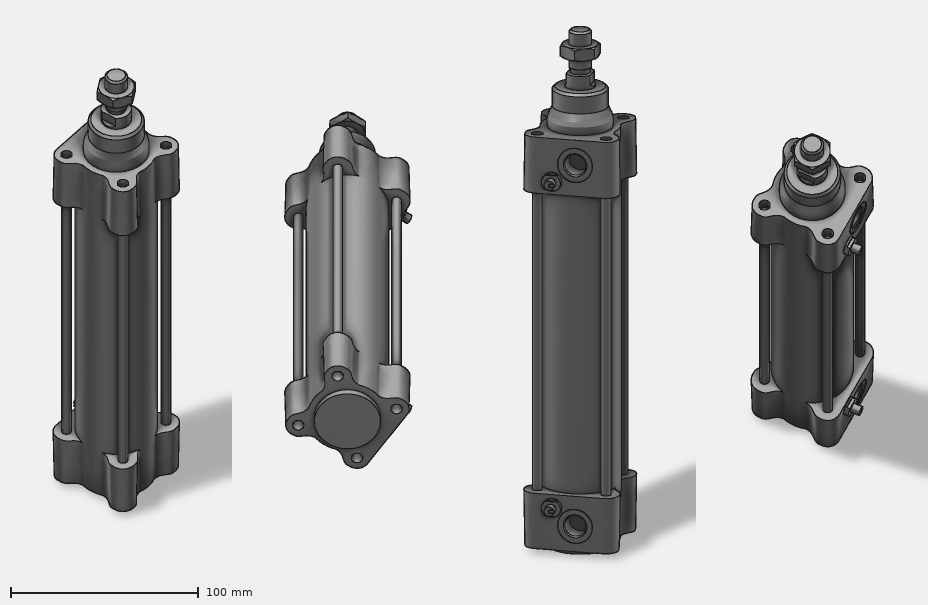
import cadquery as cq
import math

TOTAL_LENGTH = 288.0
TOTAL_WIDTH = 59.5

CAP_WIDTH = 52.0
CAP_HALF_WIDTH = CAP_WIDTH / 2
CAP_HEIGHT = 31.0
LOWER_CAP_BOTTOM = 4.0
UPPER_CAP_TOP = 234.0
CAP_DRAFT = 1.0
CORNER_RADIUS = 7.2
LOBE_FLAT_END = 17.3
SHOULDER_RADIUS = 5.5
SHOULDER_ANGLE = 40.0
VALLEY_OFFSET = 21.0

BARREL_DIAMETER = 44.0
TIE_ROD_OFFSET = CAP_HALF_WIDTH - CORNER_RADIUS
TIE_ROD_DIAMETER = 5.2
SCREW_HOLE_DIAMETER = 6.0
SCREW_HOLE_DEPTH = 8.5

SPIGOT_DIAMETER = 35.0
COLLAR_DIAMETER = 30.0
COLLAR_TOP = 256.3
COLLAR_TOP_CHAMFER = 1.5
COLLAR_STRAIGHT_END = 245.5
COLLAR_STEP_DIAMETER = 32.3
COLLAR_STEP_HEIGHT = 242.8
COLLAR_SHOULDER_DIAMETER = 34.0
COLLAR_SHOULDER_HEIGHT = 241.0
SPIGOT_SHOULDER_HEIGHT = 238.5

PORT_Y = -3.5
PORT_FROM_BARREL = 17.0
PORT_DIAMETER = 11.5
PORT_CHAMFER = 0.72
PORT_DEPTH = 11.5
PORT_SEAT_DIAMETER = 19.0
PORT_SEAT_DEPTH = 1.0

SCREW_Y = 9.0
SCREW_FROM_BARREL = 7.2
SCREW_COLLAR_DIAMETER = 10.5
SCREW_COLLAR_LENGTH = 2.5
SCREW_SEATING = 1.5
SCREW_COLLAR_FLATS = 8.0
SCREW_FLATS_LENGTH = 1.7
SCREW_STEM_DIAMETER = 5.2
SCREW_REACH = TOTAL_WIDTH - CAP_WIDTH
SCREW_SLOT_WIDTH = 1.7
SCREW_SLOT_DEPTH = 1.0

ROD_DIAMETER = 16.0
ROD_BOTTOM = UPPER_CAP_TOP
ROD_SHOULDER = 264.0
ROD_FLATS = 13.2
ROD_FLATS_BOTTOM = 258.5
NECK_DIAMETER = 10.5
THREAD_DIAMETER = 12.0
THREAD_START = 267.0
THREAD_CHAMFER = 1.2

NUT_FLATS = 19.0
NUT_BOTTOM = 273.0
NUT_HEIGHT = 7.0
NUT_TURN = -2.0
NUT_CHAMFER_SLOPE = math.tan(math.radians(30))

BARREL_BOTTOM = LOWER_CAP_BOTTOM + CAP_HEIGHT
BARREL_TOP = UPPER_CAP_TOP - CAP_HEIGHT


def cylinder(diameter, bottom, top):
    return cq.Workplane("XY").workplane(offset=bottom).circle(diameter / 2).extrude(top - bottom)


def side_cylinder(diameter, y, z, x_start, x_end):
    return cq.Workplane("YZ", origin=(x_start, y, z)).circle(diameter / 2).extrude(x_end - x_start)


def shoulder_point(degrees):
    """Point on the inner shoulder of a lobe, as (distance along the side, distance from the axis)."""
    angle = math.radians(degrees)
    along = LOBE_FLAT_END - SHOULDER_RADIUS * math.sin(angle)
    out = CAP_HALF_WIDTH - SHOULDER_RADIUS * (1 - math.cos(angle))
    return along, out


def lobed_side(outline, turn):
    """Continue an outline across one lobed side; at turn 0 the side faces -Y and runs toward +X."""
    cos_turn = math.cos(math.radians(turn))
    sin_turn = math.sin(math.radians(turn))

    def place(along, out):
        return along * cos_turn + out * sin_turn, along * sin_turn - out * cos_turn

    slope = math.radians(SHOULDER_ANGLE)
    shoulder_mid = shoulder_point(SHOULDER_ANGLE / 2)
    shoulder_end = shoulder_point(SHOULDER_ANGLE)

    bulge_radius = BARREL_DIAMETER / 2
    bulge_end = math.sqrt(bulge_radius**2 - VALLEY_OFFSET**2)
    slope_foot = shoulder_end[0] - (shoulder_end[1] - VALLEY_OFFSET) / math.tan(slope)
    tangent_length = slope_foot - bulge_end
    fillet_radius = tangent_length / math.tan(slope / 2)
    fillet_mid = (
        bulge_end + fillet_radius * math.sin(slope / 2),
        VALLEY_OFFSET + fillet_radius * (1 - math.cos(slope / 2)),
    )
    fillet_end = (
        slope_foot + tangent_length * math.cos(slope),
        VALLEY_OFFSET + tangent_length * math.sin(slope),
    )

    def mirrored(point):
        return place(-point[0], point[1])

    return (
        outline.lineTo(*place(-LOBE_FLAT_END, CAP_HALF_WIDTH))
        .threePointArc(mirrored(shoulder_mid), mirrored(shoulder_end))
        .lineTo(*mirrored(fillet_end))
        .threePointArc(mirrored(fillet_mid), place(-bulge_end, VALLEY_OFFSET))
        .threePointArc(place(0, bulge_radius), place(bulge_end, VALLEY_OFFSET))
        .threePointArc(place(*fillet_mid), place(*fillet_end))
        .lineTo(*place(*shoulder_end))
        .threePointArc(place(*shoulder_mid), place(LOBE_FLAT_END, CAP_HALF_WIDTH))
    )


def cap_outline():
    """Cap section at the barrel: flat -X side, lobed corners, bulged valleys on the other sides."""
    edge = CAP_HALF_WIDTH
    corner = edge - CORNER_RADIUS
    mid = corner + CORNER_RADIUS * math.sqrt(0.5)

    outline = cq.Workplane("XY").moveTo(-edge, -corner).threePointArc((-mid, -mid), (-corner, -edge))
    outline = lobed_side(outline, 0).lineTo(corner, -edge)
    outline = outline.threePointArc((mid, -mid), (edge, -corner))
    outline = lobed_side(outline, 90).lineTo(edge, corner)
    outline = outline.threePointArc((mid, mid), (corner, edge))
    outline = lobed_side(outline, 180).lineTo(-corner, edge)
    outline = outline.threePointArc((-mid, mid), (-edge, corner))
    return outline.close()


def make_caps():
    """Lower and upper caps, full size at the barrel and drafted toward their outer faces."""
    upper = cap_outline().extrude(CAP_HEIGHT, taper=CAP_DRAFT)
    lower = upper.mirror("XY")
    return lower.translate((0, 0, BARREL_BOTTOM)), upper.translate((0, 0, BARREL_TOP))


def collar():
    """Turned bearing collar on top of the upper cap."""
    profile = [
        (0, UPPER_CAP_TOP),
        (SPIGOT_DIAMETER / 2, UPPER_CAP_TOP),
        (SPIGOT_DIAMETER / 2, SPIGOT_SHOULDER_HEIGHT),
        (COLLAR_SHOULDER_DIAMETER / 2, COLLAR_SHOULDER_HEIGHT),
        (COLLAR_STEP_DIAMETER / 2, COLLAR_STEP_HEIGHT),
        (COLLAR_DIAMETER / 2, COLLAR_STRAIGHT_END),
        (COLLAR_DIAMETER / 2, COLLAR_TOP - COLLAR_TOP_CHAMFER),
        (COLLAR_DIAMETER / 2 - COLLAR_TOP_CHAMFER, COLLAR_TOP),
        (0, COLLAR_TOP),
    ]
    return cq.Workplane("XZ").polyline(profile).close().revolve(360, (0, 0, 0), (0, 1, 0))


def port_cut(z):
    """Shallow seat and chamfered blind hole of an air port."""
    side = -CAP_HALF_WIDTH
    seat_floor = side + PORT_SEAT_DEPTH
    seat = side_cylinder(PORT_SEAT_DIAMETER, PORT_Y, z, side, seat_floor)
    hole = side_cylinder(PORT_DIAMETER, PORT_Y, z, side, side + PORT_DEPTH)
    countersink = cq.Solid.makeCone(
        PORT_DIAMETER / 2 + PORT_CHAMFER,
        PORT_DIAMETER / 2,
        PORT_CHAMFER,
        cq.Vector(seat_floor, PORT_Y, z),
        cq.Vector(1, 0, 0),
    )
    return seat.union(hole).union(cq.Workplane(countersink))


def cushion_screw(z):
    """Adjusting screw: round collar with two flats, and a stem with a half slot in its tip."""
    side = -CAP_HALF_WIDTH
    collar_face = side - SCREW_COLLAR_LENGTH
    tip = side - SCREW_REACH
    flats_x = collar_face + SCREW_FLATS_LENGTH / 2
    base = side_cylinder(SCREW_COLLAR_DIAMETER, SCREW_Y, z, collar_face, side + SCREW_SEATING)
    for direction in (-1, 1):
        flat_z = z + direction * (SCREW_COLLAR_FLATS + SCREW_COLLAR_DIAMETER) / 2
        waste = cq.Workplane("XY").box(SCREW_FLATS_LENGTH, SCREW_COLLAR_DIAMETER, SCREW_COLLAR_DIAMETER)
        base = base.cut(waste.translate((flats_x, SCREW_Y, flat_z)))
    stem = side_cylinder(SCREW_STEM_DIAMETER, SCREW_Y, z, tip, side + SCREW_SEATING)
    slot = cq.Workplane("XY").box(SCREW_SLOT_DEPTH, SCREW_STEM_DIAMETER / 2, SCREW_SLOT_WIDTH)
    stem = stem.cut(slot.translate((tip + SCREW_SLOT_DEPTH / 2, SCREW_Y - SCREW_STEM_DIAMETER / 4, z)))
    return base.union(stem)


def make_housing():
    """Barrel, end caps, tie rods, collar, spigot and cushion screws as one solid."""
    body = cylinder(BARREL_DIAMETER, BARREL_BOTTOM, BARREL_TOP)
    for cap in make_caps():
        body = body.union(cap)
    body = body.union(cylinder(SPIGOT_DIAMETER, 0, LOWER_CAP_BOTTOM)).union(collar())

    corners = [(x, y) for x in (-TIE_ROD_OFFSET, TIE_ROD_OFFSET) for y in (-TIE_ROD_OFFSET, TIE_ROD_OFFSET)]
    for x, y in corners:
        body = body.union(cylinder(TIE_ROD_DIAMETER, BARREL_BOTTOM, BARREL_TOP).translate((x, y, 0)))
        for bottom in (LOWER_CAP_BOTTOM, UPPER_CAP_TOP - SCREW_HOLE_DEPTH):
            hole = cylinder(SCREW_HOLE_DIAMETER, bottom, bottom + SCREW_HOLE_DEPTH)
            body = body.cut(hole.translate((x, y, 0)))

    for barrel_end, outward in ((BARREL_BOTTOM, -1), (BARREL_TOP, 1)):
        body = body.cut(port_cut(barrel_end + outward * PORT_FROM_BARREL))
        body = body.union(cushion_screw(barrel_end + outward * SCREW_FROM_BARREL))

    return body.cut(cylinder(ROD_DIAMETER, ROD_BOTTOM, COLLAR_TOP))


def make_piston_rod():
    """Rod with two wrench flats, an undercut neck and a threaded end."""
    rod = cylinder(ROD_DIAMETER, ROD_BOTTOM, ROD_SHOULDER)
    flat_y = ROD_FLATS / 2
    clear_y = ROD_DIAMETER
    for side in (-1, 1):
        waste = (
            cq.Workplane("YZ")
            .moveTo(side * flat_y, ROD_SHOULDER)
            .lineTo(side * flat_y, ROD_FLATS_BOTTOM)
            .lineTo(side * clear_y, ROD_FLATS_BOTTOM - (clear_y - flat_y))
            .lineTo(side * clear_y, ROD_SHOULDER)
            .close()
            .extrude(ROD_DIAMETER, both=True)
        )
        rod = rod.cut(waste)
    neck = cylinder(NECK_DIAMETER, ROD_SHOULDER, THREAD_START)
    thread = cylinder(THREAD_DIAMETER, THREAD_START, TOTAL_LENGTH).faces(">Z").chamfer(THREAD_CHAMFER)
    return rod.union(neck).union(thread)


def make_nut():
    """Hexagon nut with corners on the X axis, rounded off by a chamfer at both ends."""
    across_corners = NUT_FLATS / math.cos(math.pi / 6)
    hexagon = cq.Workplane("XY").workplane(offset=NUT_BOTTOM).polygon(6, across_corners).extrude(NUT_HEIGHT)
    hexagon = hexagon.rotate((0, 0, 0), (0, 0, 1), NUT_TURN)
    corner_chamfer = (across_corners - NUT_FLATS) / 2
    turned = cylinder(across_corners, NUT_BOTTOM, NUT_BOTTOM + NUT_HEIGHT)
    turned = turned.faces("<Z or >Z").chamfer(corner_chamfer * NUT_CHAMFER_SLOPE, corner_chamfer)
    return hexagon.intersect(turned).cut(cylinder(THREAD_DIAMETER, NUT_BOTTOM, NUT_BOTTOM + NUT_HEIGHT))


housing = make_housing()
piston_rod = make_piston_rod()
nut = make_nut()

result = cq.Compound.makeCompound([housing.val(), piston_rod.val(), nut.val()])